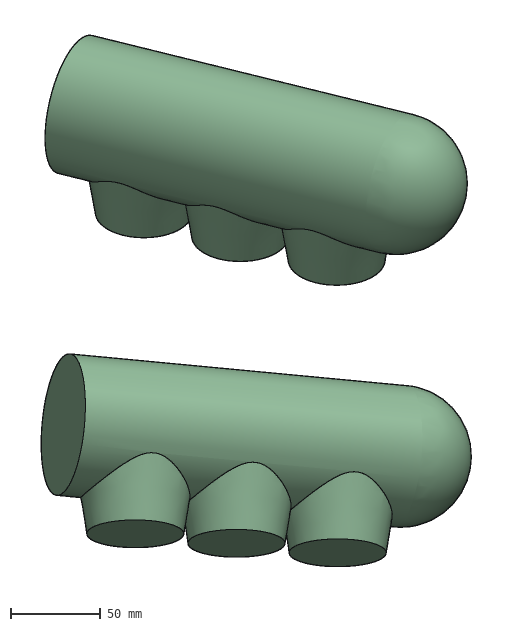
import cadquery as cq

total_length = 239.0
body_radius = 40.0
total_height = 100.0
body_length = total_length - body_radius

leg_count = 3
leg_pitch = 59.8
first_leg_x = 42.5
leg_bottom_radius = 27.2
leg_axis_radius = 36.8
leg_height = total_height - body_radius


def make_body():
    """Cylinder along X with a hemispherical end at +X."""
    cylinder = cq.Workplane("YZ").circle(body_radius).extrude(body_length)
    dome = cq.Workplane("XY").sphere(body_radius).translate((body_length, 0, 0))
    return cylinder.union(dome)


def make_leg(x):
    """Cone frustum from the body axis down to the underside."""
    return cq.Workplane(
        cq.Solid.makeCone(
            leg_bottom_radius,
            leg_axis_radius,
            leg_height,
            pnt=cq.Vector(x, 0, -leg_height),
            dir=cq.Vector(0, 0, 1),
        )
    )


result = make_body()
for index in range(leg_count):
    result = result.union(make_leg(first_leg_x + index * leg_pitch))